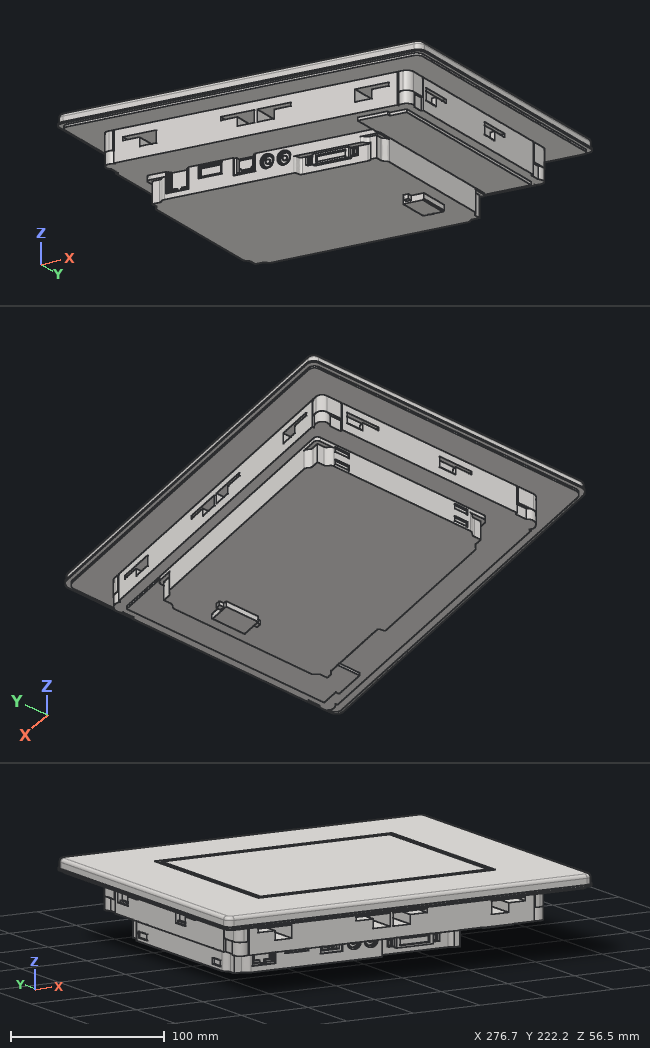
import cadquery as cq


LENGTH, WIDTH, HEIGHT = 276.7, 222.2, 56.5

LIP_OVERHANG = 0.8
LIP_TOP, LIP_BOTTOM = -7.0, -8.0
BEZEL_CORNER = 5.0
BEZEL_EDGE_ROUND = 2.5
GASKET_INSET = 3.0
BEZEL_BACK = -9.7

SCREEN_LENGTH, SCREEN_WIDTH = 177.6, 134.0
SCREEN_BORDER = 3.0
SCREEN_GROOVE = 0.3

HOUSING_LENGTH, HOUSING_WIDTH = 232.2, 175.7
HOUSING_SHIFT = 0.5
HOUSING_BOTTOM = -32.7
PAD_HEIGHT = 1.7
FRONT_PAD_LENGTH = 214.2
SIDE_PAD_WIDTH = 140.3
POST_RADIUS = 5.3
BLOCK_CORNER = 5.0
CORNER_BLOCK_BOTTOM = -23.5
PAD_GAP = 0.8

SLOT_TOP, SLOT_BOTTOM = -15.8, -24.5
SLOT_TAIL = 2.5
SLOT_WINDOW, SLOT_LENGTH = 12.7, 25.5
OUTER_SLOT_START, INNER_SLOT_START = 75.0, 1.0
SIDE_SLOT_STARTS = (66.5, -8.0)
SIDE_SLOT_DEPTH = 3.3
SIDE_SLOT_LEDGE = 1.5

MODULE_LEFT, MODULE_RIGHT = -102.0, 73.5
MODULE_FRONT, MODULE_BACK = -56.2, 81.0
MODULE_BOTTOM = -51.7
MODULE_CORNER = 3.0
RELIEF_TOP = -36.0
RELIEF_DEPTH = 3.0
RELIEF_REACH = 13.8
RELIEF_BLEND = 5.5

BAY_LEFT, BAY_RIGHT = 9.7, 70.8
BAY_TOP = -40.0
BAY_DEPTH = 5.0
BAY_LEFT_BLEND, BAY_RIGHT_BLEND = 3.3, 8.3

VENT_SPANS = ((54.5, 65.9), (-40.5, -30.2))
VENT_TOPS = (-34.5, -45.0)
VENT_HEIGHT, VENT_DEPTH = 4.2, 1.5

PLATE_FRONT = -80.2
PLATE_STEP, PLATE_RIGHT = 95.0, 107.5
PLATE_SETBACK = 2.8
PLATE_THICKNESS = 2.2

PORT_DEPTH = 4.2
PORT_STEP = 1.0
JACK_CENTERS = (-10.5, 2.2)
JACK_Z = -39.5

OVERLAP = 1.5


def box(x0, x1, y0, y1, z0, z1):
    """Box spanning the given limits, in either order."""
    block = cq.Workplane("XY").box(abs(x1 - x0), abs(y1 - y0), abs(z1 - z0))
    return block.translate(((x0 + x1) / 2, (y0 + y1) / 2, (z0 + z1) / 2))


def slab(length, width, top, bottom, corner):
    """Centred plate with rounded vertical corners."""
    plate = cq.Workplane("XY").workplane(offset=bottom).rect(length, width).extrude(top - bottom)
    return plate.edges("|Z").fillet(corner)


def dish(plane, start, end, depth, height, start_blend=0, end_blend=0):
    """Cutter that lowers a wall by a depth between start and end.

    In the plane, X runs along the wall and Y points into it. A blended end is a
    smooth S of the given length; an end without a blend is square.
    """
    along = (1, 0)
    outline = cq.Workplane(plane).moveTo(start, -OVERLAP).lineTo(start, 0)
    if start_blend:
        outline = outline.spline([(start, 0), (start + start_blend, depth)], tangents=[along, along])
    else:
        outline = outline.lineTo(start, depth)
    if end_blend:
        blend_from = (end - end_blend, depth)
        outline = outline.lineTo(*blend_from)
        outline = outline.spline([blend_from, (end, 0)], tangents=[along, along])
    else:
        outline = outline.lineTo(end, depth).lineTo(end, 0)
    return outline.lineTo(end, -OVERLAP).close().extrude(height)


def front_port(x0, x1, z_top, z_bottom, depth):
    """Rectangular cutter that enters the module front by the given depth."""
    return box(x0, x1, MODULE_FRONT - OVERLAP, MODULE_FRONT + depth, z_bottom, z_top)


def front_cylinder(x, z, radius, start, depth):
    """Cylinder along Y that starts at the given Y and runs inwards."""
    return cq.Workplane("XZ", origin=(x, start, z)).circle(radius).extrude(-depth)


def make_bezel():
    face_length = LENGTH - 2 * LIP_OVERHANG
    face_width = WIDTH - 2 * LIP_OVERHANG
    face = slab(face_length, face_width, 0, LIP_BOTTOM, BEZEL_CORNER)
    face = face.faces(">Z").edges().fillet(BEZEL_EDGE_ROUND)
    lip = slab(LENGTH, WIDTH, LIP_TOP, LIP_BOTTOM, BEZEL_CORNER + LIP_OVERHANG)
    gasket = slab(LENGTH - 2 * GASKET_INSET, WIDTH - 2 * GASKET_INSET, LIP_BOTTOM, BEZEL_BACK, BEZEL_CORNER)
    groove = (
        cq.Workplane("XY")
        .rect(SCREEN_LENGTH, SCREEN_WIDTH)
        .rect(SCREEN_LENGTH - 2 * SCREEN_BORDER, SCREEN_WIDTH - 2 * SCREEN_BORDER)
        .extrude(-SCREEN_GROOVE)
    )
    return face.union(lip).union(gasket).cut(groove)


def clamp_slot(start, direction):
    """Slot outline in a vertical plane: window at `start`, tail along `direction`."""
    window_end = start + direction * SLOT_WINDOW
    tail_end = start + direction * SLOT_LENGTH
    tail_bottom = SLOT_TOP - SLOT_TAIL
    return [
        (start, SLOT_TOP),
        (tail_end, SLOT_TOP),
        (tail_end, tail_bottom),
        (window_end, tail_bottom),
        (window_end, SLOT_BOTTOM),
        (start, SLOT_BOTTOM),
    ]


def make_housing():
    half_x, half_y = HOUSING_LENGTH / 2, HOUSING_WIDTH / 2
    core_x, core_y = half_x - PAD_HEIGHT, half_y - PAD_HEIGHT
    pad_x, pad_y = FRONT_PAD_LENGTH / 2, SIDE_PAD_WIDTH / 2
    post_x, post_y = half_x - POST_RADIUS, half_y - POST_RADIUS

    upper = slab(HOUSING_LENGTH, HOUSING_WIDTH, BEZEL_BACK, CORNER_BLOCK_BOTTOM, BLOCK_CORNER)
    gap_x, gap_y = pad_x + PAD_GAP, pad_y + PAD_GAP
    for sx in (-1, 1):
        for sy in (-1, 1):
            front_groove = box(
                sx * pad_x, sx * gap_x, sy * core_y, sy * WIDTH,
                CORNER_BLOCK_BOTTOM, BEZEL_BACK,
            )
            side_groove = box(
                sx * core_x, sx * LENGTH, sy * pad_y, sy * gap_y,
                CORNER_BLOCK_BOTTOM, BEZEL_BACK,
            )
            upper = upper.cut(front_groove).cut(side_groove)

    lower_span = (HOUSING_BOTTOM, CORNER_BLOCK_BOTTOM)
    lower = box(-core_x, core_x, -post_y, post_y, *lower_span)
    lower = lower.union(box(-pad_x, pad_x, -half_y, half_y, *lower_span))
    lower = lower.union(box(-half_x, half_x, -pad_y, pad_y, *lower_span))
    for x in (-post_x, post_x):
        for y in (-post_y, post_y):
            post = cq.Workplane("XY", origin=(x, y, HOUSING_BOTTOM)).circle(POST_RADIUS)
            lower = lower.union(post.extrude(CORNER_BLOCK_BOTTOM - HOUSING_BOTTOM))
    housing = upper.union(lower)

    for side in (-1, 1):
        for start in (OUTER_SLOT_START, INNER_SLOT_START):
            outline = clamp_slot(side * start, side)
            slot = cq.Workplane("XZ").polyline(outline).close().extrude(HOUSING_WIDTH, both=True)
            housing = housing.cut(slot)

    side_slots = cq.Workplane("YZ", origin=(-half_x, 0, 0))
    for start in SIDE_SLOT_STARTS:
        slot = side_slots.polyline(clamp_slot(start, -1)).close().extrude(SIDE_SLOT_DEPTH)
        ledge = box(
            SIDE_SLOT_DEPTH / 2 - half_x, SIDE_SLOT_DEPTH - half_x,
            start - SLOT_WINDOW, start,
            SLOT_BOTTOM, SLOT_BOTTOM + SIDE_SLOT_LEDGE,
        )
        slot = slot.cut(ledge)
        housing = housing.cut(slot).cut(slot.rotate((0, 0, 0), (0, 0, 1), 180))
    return housing.translate((-HOUSING_SHIFT, HOUSING_SHIFT, 0))


def wall_plane(x, y, along):
    """Horizontal plane at the module bottom, X along a wall and Y into the module."""
    return cq.Plane(origin=(x, y, MODULE_BOTTOM), xDir=along, normal=(0, 0, 1))


def make_module():
    mid_x, mid_y = (MODULE_LEFT + MODULE_RIGHT) / 2, (MODULE_FRONT + MODULE_BACK) / 2
    half_x, half_y = (MODULE_RIGHT - MODULE_LEFT) / 2, (MODULE_BACK - MODULE_FRONT) / 2
    module = box(MODULE_LEFT, MODULE_RIGHT, MODULE_FRONT, MODULE_BACK, MODULE_BOTTOM, HOUSING_BOTTOM)
    module = module.edges("|Z").fillet(MODULE_CORNER)

    relief_height = RELIEF_TOP - MODULE_BOTTOM
    walls = (
        (wall_plane(mid_x, MODULE_FRONT, (1, 0, 0)), half_x),
        (wall_plane(MODULE_RIGHT, mid_y, (0, 1, 0)), half_y),
        (wall_plane(mid_x, MODULE_BACK, (-1, 0, 0)), half_x),
        (wall_plane(MODULE_LEFT, mid_y, (0, -1, 0)), half_y),
    )
    for plane, half in walls:
        inner, outer = half - RELIEF_REACH, half + OVERLAP
        module = module.cut(dish(plane, -outer, -inner, RELIEF_DEPTH, relief_height, end_blend=RELIEF_BLEND))
        module = module.cut(dish(plane, inner, outer, RELIEF_DEPTH, relief_height, start_blend=RELIEF_BLEND))

    for y0, y1 in VENT_SPANS:
        for z_top in VENT_TOPS:
            vent = box(
                MODULE_LEFT - OVERLAP, MODULE_LEFT + VENT_DEPTH,
                y0, y1, z_top - VENT_HEIGHT, z_top,
            )
            module = module.cut(vent)
    return module


def make_base_plate():
    """Thin stepped plate under the housing, beside the module."""
    plate_bottom = HOUSING_BOTTOM - PLATE_THICKNESS
    main = box(MODULE_RIGHT - OVERLAP, PLATE_STEP, PLATE_FRONT, MODULE_BACK, plate_bottom, HOUSING_BOTTOM)
    wing = box(
        PLATE_STEP, PLATE_RIGHT, PLATE_FRONT + PLATE_SETBACK, MODULE_BACK,
        plate_bottom, HOUSING_BOTTOM,
    )
    return main.union(wing)


def cut_network_port(module):
    """Socket with a stepped rim and a latch notch at the bottom."""
    centre, rim_half, mouth_half, latch_half = -78.3, 8.5, 6.0, 2.0
    rim_bottom, mouth_bottom, latch_bottom = -47.5, -44.8, -47.0
    rim_edge = (rim_half + mouth_half) / 2
    rim_step_bottom = (rim_bottom + mouth_bottom) / 2
    cutters = (
        (rim_half, rim_bottom, PORT_STEP),
        (rim_edge, rim_step_bottom, 2 * PORT_STEP),
        (mouth_half, mouth_bottom, PORT_DEPTH),
        (latch_half, latch_bottom, PORT_DEPTH),
    )
    for half, bottom, depth in cutters:
        module = module.cut(front_port(centre - half, centre + half, HOUSING_BOTTOM, bottom, depth))
    return module


def cut_usb_host(module):
    """Flat socket with a stepped rim."""
    centre, half = -53.7, 8.9
    top, bottom = -33.5, -41.8
    for step in range(2):
        inset = step * PORT_STEP
        depth = PORT_STEP * (step + 1)
        cutter = front_port(centre - half + inset, centre + half - inset, top - inset, bottom + inset, depth)
        module = module.cut(cutter)
    return module


def cut_usb_device(module):
    """Square socket: a shallow rim, a deeper mouth and a plug core with bevelled lower corners."""
    centre = -27.7
    rim_half, rim_bottom = 8.3, -44.8
    mouth_half, mouth_bottom = 6.5, -43.2
    core_half, core_top, core_bottom, core_bevel = 5.0, -34.5, -41.5, 1.7
    rim = front_port(centre - rim_half, centre + rim_half, HOUSING_BOTTOM, rim_bottom, PORT_STEP)
    mouth = front_port(centre - mouth_half, centre + mouth_half, HOUSING_BOTTOM, mouth_bottom, PORT_DEPTH)
    core = box(
        centre - core_half, centre + core_half,
        MODULE_FRONT + 2 * PORT_STEP, MODULE_FRONT + PORT_DEPTH,
        core_bottom, core_top,
    )
    core = core.faces("<Z").edges("|Y").chamfer(core_bevel)
    return module.cut(rim).cut(mouth.cut(core))


def cut_audio_jack(module, x):
    """Round jack: a stepped bore with a pin in the middle."""
    rim_radius, bore_radius, pin_radius = 5.0, 4.0, 1.7
    for step, radius in enumerate((rim_radius, bore_radius)):
        depth = PORT_STEP * (step + 1)
        module = module.cut(front_cylinder(x, JACK_Z, radius, MODULE_FRONT, depth))
    pin = front_cylinder(x, JACK_Z, pin_radius, MODULE_FRONT + PORT_STEP, PORT_STEP)
    return module.union(pin)


def add_bay_connector(module):
    """Recessed bay, open at the bottom, with a screw-locked serial connector."""
    plane = wall_plane(0, MODULE_FRONT, (1, 0, 0))
    height = BAY_TOP - MODULE_BOTTOM
    bay = dish(plane, BAY_LEFT, BAY_RIGHT, BAY_DEPTH, height, BAY_LEFT_BLEND, BAY_RIGHT_BLEND)
    module = module.cut(bay)

    floor = MODULE_FRONT + BAY_DEPTH
    centre, shell_half = 36.2, 13.8
    shell_top, shell_bottom, shell_reach = -40.5, -47.5, 2.8
    mouth_inset, mouth_depth = 1.5, 2.0
    screw_offset, screw_half, screw_reach = 17.0, 2.2, 2.0
    screw_top, screw_bottom = -41.2, -46.5
    screw_bore_half = 0.8

    shell = box(centre - shell_half, centre + shell_half, floor - shell_reach, floor, shell_bottom, shell_top)
    mouth = box(
        centre - shell_half + 2 * mouth_inset, centre + shell_half - 2 * mouth_inset,
        floor - shell_reach, floor - shell_reach + mouth_depth,
        shell_bottom + mouth_inset, shell_top - mouth_inset,
    )
    module = module.union(shell.cut(mouth))
    for side in (-1, 1):
        x = centre + side * screw_offset
        lug = box(x - screw_half, x + screw_half, floor - screw_reach, floor, screw_bottom, screw_top)
        slot = box(
            x - screw_bore_half, x + screw_bore_half,
            floor - screw_reach, floor - screw_reach / 2,
            screw_bottom + screw_bore_half, screw_top - screw_bore_half,
        )
        module = module.union(lug.cut(slot))
    return module


def make_bottom_connector():
    """Connector hanging from the module bottom: a body, a bevelled latch side and two end ears."""
    left, split, right = 47.5, 55.0, 63.5
    front, back = 19.0, 44.8
    ear_left, ear_right, ear_reach, ear_height = 50.0, 53.7, 3.5, 3.3
    bevel = 0.8
    body = box(left, split, front, back, -HEIGHT, MODULE_BOTTOM)
    latch = box(split, right, front, back, -HEIGHT, MODULE_BOTTOM)
    latch = latch.faces(">X").edges("<Z").chamfer(bevel)
    ears = box(
        ear_left, ear_right, front - ear_reach, back + ear_reach,
        MODULE_BOTTOM - ear_height, MODULE_BOTTOM,
    )
    return body.union(latch).union(ears)


module = make_module()
module = cut_network_port(module)
module = cut_usb_host(module)
module = cut_usb_device(module)
for jack_x in JACK_CENTERS:
    module = cut_audio_jack(module, jack_x)
module = add_bay_connector(module)

result = make_bezel().union(make_housing()).union(make_base_plate()).union(module)
result = result.union(make_bottom_connector())